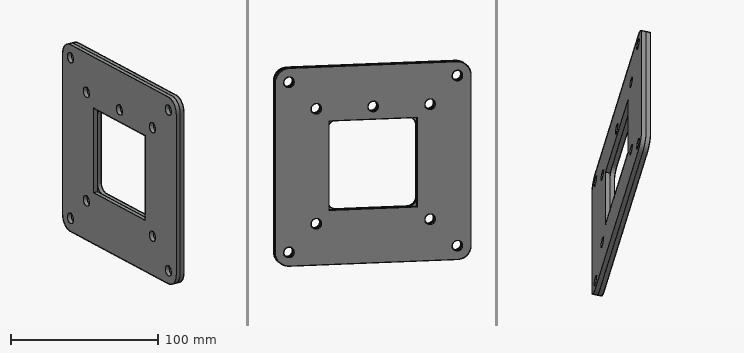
import cadquery as cq

SIDE = 136.5
STACK_THICKNESS = 6.4
PLATE_THICKNESS = STACK_THICKNESS / 2
CORNER_RADIUS = 9.5

WINDOW_SIDE = 61.7
WINDOW_CORNER_RADIUS = 6.0

HOLE_DIAMETER = 7.2
CORNER_HOLE_PITCH = SIDE - 2 * CORNER_RADIUS
INNER_HOLE_PITCH = 79.3


def square_prism(side, y_front):
    """A square block, one plate thick, extending toward +Y from y_front."""
    return (
        cq.Workplane("XZ", origin=(0, y_front, 0))
        .rect(side, side)
        .extrude(-PLATE_THICKNESS)
    )


def square_corners(pitch):
    """The four corner points of a square centred on the origin."""
    half = pitch / 2
    return [(x, z) for x in (-half, half) for z in (-half, half)]


def hole_cutters(y_front):
    """Corner holes, a square of inner holes and one hole at its top middle."""
    top_middle = (0, INNER_HOLE_PITCH / 2)
    centres = square_corners(CORNER_HOLE_PITCH) + square_corners(INNER_HOLE_PITCH) + [top_middle]
    return (
        cq.Workplane("XZ", origin=(0, y_front, 0))
        .pushPoints(centres)
        .circle(HOLE_DIAMETER / 2)
        .extrude(-PLATE_THICKNESS)
    )


def drilled_plate(y_front, window):
    """A round-cornered plate with the shared holes and the given window."""
    blank = square_prism(SIDE, y_front).edges("|Y").fillet(CORNER_RADIUS)
    return blank.cut(window).cut(hole_cutters(y_front)).solids()


def make_front_plate():
    """Front plate, with a sharp-cornered window."""
    y_front = -PLATE_THICKNESS
    return drilled_plate(y_front, square_prism(WINDOW_SIDE, y_front))


def make_back_plate():
    """Back plate, with a round-cornered window of the same side."""
    y_front = 0.0
    window = square_prism(WINDOW_SIDE, y_front).edges("|Y").fillet(WINDOW_CORNER_RADIUS)
    return drilled_plate(y_front, window)


front_plate = make_front_plate()
back_plate = make_back_plate()

result = cq.Compound.makeCompound([front_plate.val(), back_plate.val()])